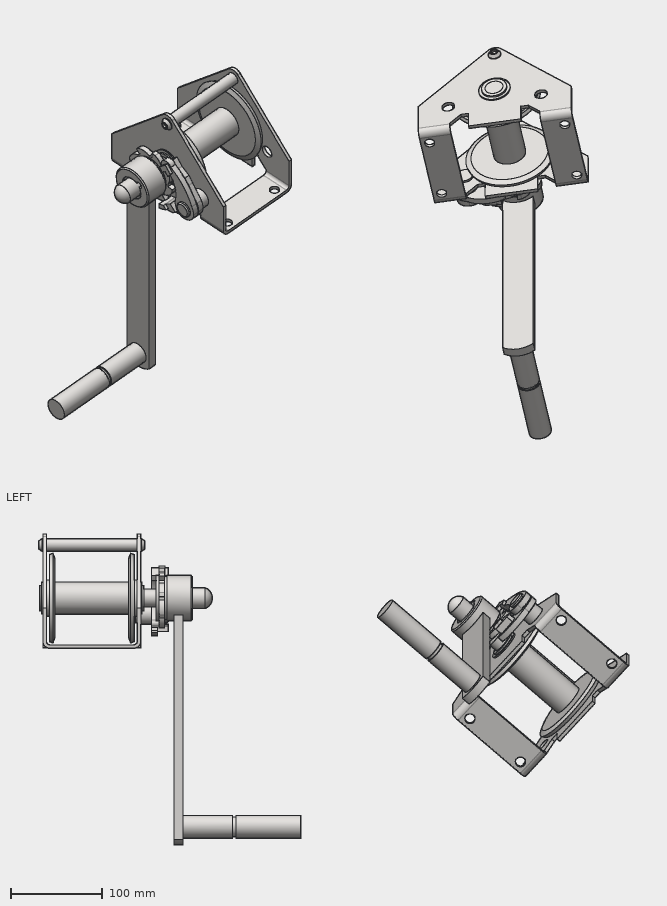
import cadquery as cq
import math


frame_width = 170.0
frame_depth = 107.0
sheet = 4.0
bend_radius = 8.0
base_bottom = -55.0
foot_length = 35.0
shoulder_z = -11.0
apex_radius = 10.0
apex_z = 70.1
tab_half_width = 29.0
tab_bottom = -54.5
notch_top = -33.5
notch_foot_z = -46.0
mount_hole_diameter = 11.0
mount_hole_x = 75.0
mount_hole_y = 37.0

bar_z = 58.1
bar_diameter = 14.0
bar_head_height = 4.5
bar_head_chamfer_length = 3.5
bar_head_chamfer_depth = 2.5
bar_socket_size = 6.0
bar_socket_depth = 2.5

shaft_diameter = 20.0
bush_flange_diameter = 40.0
bush_shoulder_diameter = 35.0
bush_shoulder_width = 1.5
bush_rim_diameter = 28.0
bush_rim_width = 2.0

drum_diameter = 35.6
flange_inner_y = 40.0
flange_thickness = 4.0
flange_flat_radius = 43.0
flange_back_flat_radius = 42.2
flange_rim_radius = 49.2
flange_rim_offset = 2.5
flange_edge_radius = 47.6
flange_edge_offset = 6.5

ratchet_back_y = -73.5
ratchet_front_y = -79.7
ratchet_disc_back_y = -70.2
ratchet_teeth = 8
tooth_phase = 87.0
tooth_tip_radius = 32.7
tooth_root_radius = 26.0
tooth_tip_angle = 8.0
tooth_back_radius = 30.7
tooth_back_angle = 21.0
tooth_root_angle = 37.0

pivot_x = 51.5
pivot_z = -17.8
pivot_hole_diameter = 14.0
pivot_collar_diameter = 22.0
pivot_end_diameter = 18.5
pivot_front_y = -83.6
pivot_end_chamfer = 1.5
pivot_tail_length = 2.3
pawl_back_y = -65.2
pawl_gap_y = -72.0
pawl_middle_y = -73.2
pawl_front_y = -80.2
pawl_stud_y = -83.7
pawl_boss_radius = 14.0
pawl_inner_radius = 38.3

boss_start = (62.8, -7.4)
boss_shoulder = (64.9, -12.8)
boss_side = (pivot_x + pawl_boss_radius, pivot_z)
outer_edge_middle = (49.6, 14.9)
inner_edge_middle = (pawl_inner_radius, 0.0)
front_inner_end = (36.8, -16.2)
front_boss_joint = (39.4, -25.0)
front_boss_blend = (44.0, -30.0)
claw_back = (16.7, 24.8)
claw_top = (22.5, 35.0)
claw_crown = (31.0, 30.7)
claw_notch = (25.4, 23.2)
claw_tip = (20.6, 19.0)
upper_stud_top = (25.8, 33.2)
upper_stud_outer = (33.5, 24.1)
upper_stud_inner = (29.9, 18.6)
upper_stud_corners = [claw_back, upper_stud_top, upper_stud_outer, upper_stud_inner, claw_notch, claw_tip]
lower_stud_tip = (16.0, -30.5)
lower_stud_step = (22.9, -28.5)
lower_stud_inner = (29.9, -23.9)
lower_stud_base = (16.0, -36.5)
lower_stud_corners = [
    lower_stud_tip,
    lower_stud_step,
    lower_stud_inner,
    (37.9, -31.6),
    (34.0, -34.5),
    lower_stud_base,
]
lower_stud_end_corners = [lower_stud_tip, lower_stud_step, (27.3, -32.3), (21.8, -34.8), lower_stud_base]
back_claw_x = 10.5
back_claw_corner = (back_claw_x, -37.5)
back_claw_inner = (back_claw_x, -35.5)
back_lower_edge = (31.0, -41.2)
back_lower_joint = (54.0, -33.0)
back_boss_blend = (61.8, -27.2)
back_upper_corners = [(44.0, 17.5), (49.5, 10.0)]

hub_diameter = 50.0
hub_back_y = -82.2
hub_front_y = -109.8
hub_chamfer = 1.5
hub_recess_diameter = 28.0
hub_recess_depth = 1.7
nose_diameter = 23.0
nose_shoulder_y = -123.7
nose_tip_y = -131.9
lock_hole_diameter = 8.5
lock_hole_offset = 10.4
lock_hole_depth = 6.0
arm_width = 34.0
arm_back_y = -89.8
arm_front_y = -99.9
arm_bottom_z = -269.75
arm_end_radius = 27.0
grip_z = -250.0
grip_diameter = 25.0
grip_end_y = -228.33
groove_diameter = 22.0
groove_back_y = -154.0
groove_front_y = -157.5

plate_outer_y = frame_depth / 2
plate_inner_y = plate_outer_y - sheet
flange_back_y = flange_inner_y + flange_thickness


def prism(outline, start_y, end_y):
    """Extrude a closed X-Z outline from start_y toward -Y as far as end_y."""
    return outline.extrude(start_y - end_y)


def xz_plane(y):
    return cq.Workplane("XZ", origin=(0, y, 0))


def rod(diameter, start_y, end_y, x=0.0, z=0.0):
    """Cylinder along Y from start_y toward -Y as far as end_y."""
    return prism(xz_plane(start_y).center(x, z).circle(diameter / 2), start_y, end_y)


def polar(radius, degrees):
    angle = math.radians(degrees)
    return (radius * math.cos(angle), radius * math.sin(angle))


def side_outline(y):
    """Gabled side plate with a rounded apex, two feet and a middle tab."""
    half = frame_width / 2
    foot_inner = half - foot_length
    notch_corner = foot_inner - (notch_top - notch_foot_z)
    arc_x = apex_radius * math.sin(math.pi / 4)
    arc_z = apex_z - apex_radius + arc_x
    return (
        xz_plane(y)
        .moveTo(-half, base_bottom)
        .lineTo(-half, shoulder_z)
        .lineTo(-arc_x, arc_z)
        .threePointArc((0, apex_z), (arc_x, arc_z))
        .lineTo(half, shoulder_z)
        .lineTo(half, base_bottom)
        .lineTo(foot_inner, base_bottom)
        .lineTo(foot_inner, notch_foot_z)
        .lineTo(notch_corner, notch_top)
        .lineTo(tab_half_width, notch_top)
        .lineTo(tab_half_width, tab_bottom)
        .lineTo(-tab_half_width, tab_bottom)
        .lineTo(-tab_half_width, notch_top)
        .lineTo(-notch_corner, notch_top)
        .lineTo(-foot_inner, notch_foot_z)
        .lineTo(-foot_inner, base_bottom)
        .close()
    )


def make_channel():
    """Bent sheet: two side plates joined by two foot strips."""
    tall = 2 * (apex_z - base_bottom)
    inner_radius = bend_radius - sheet
    outside = (
        cq.Workplane("XY")
        .box(frame_width, frame_depth, tall, centered=(True, True, False))
        .edges("|X and <Z")
        .fillet(bend_radius)
    )
    inside = (
        cq.Workplane("XY", origin=(0, 0, sheet))
        .box(frame_width, frame_depth - 2 * sheet, tall, centered=(True, True, False))
        .edges("|X and <Z")
        .fillet(inner_radius)
    )
    bent = outside.cut(inside).translate((0, 0, base_bottom))
    channel = bent.intersect(prism(side_outline(plate_outer_y), plate_outer_y, -plate_outer_y))
    tab_height = notch_top - tab_bottom
    for y in (plate_outer_y - sheet / 2, -plate_outer_y + sheet / 2):
        tab = cq.Workplane("XY", origin=(0, y, tab_bottom)).box(
            2 * tab_half_width, sheet, tab_height, centered=(True, True, False)
        )
        channel = channel.union(tab)
    tab_gap = cq.Workplane("XY", origin=(0, 0, base_bottom)).box(
        2 * tab_half_width, 2 * plate_inner_y, tab_height, centered=(True, True, False)
    )
    mount_holes = (
        cq.Workplane("XY", origin=(0, 0, base_bottom))
        .rect(2 * mount_hole_x, 2 * mount_hole_y, forConstruction=True)
        .vertices()
        .circle(mount_hole_diameter / 2)
        .extrude(sheet)
    )
    channel = channel.cut(tab_gap).cut(mount_holes)
    for x in (-pivot_x, pivot_x):
        channel = channel.cut(rod(pivot_hole_diameter, plate_outer_y, plate_inner_y, x, pivot_z))
    return channel


def make_spacer_bar():
    """Round bar with chamfered heads, each with a hexagon socket."""
    head_y = plate_outer_y + bar_head_height
    bar = rod(bar_diameter, head_y, -head_y, z=bar_z)
    bar = bar.edges().chamfer(bar_head_chamfer_length, bar_head_chamfer_depth)
    for start_y in (head_y, -head_y + bar_socket_depth):
        socket = xz_plane(start_y).center(0, bar_z).polygon(6, bar_socket_size, circumscribed=True)
        bar = bar.cut(prism(socket, start_y, start_y - bar_socket_depth))
    return bar


def make_bush():
    """Stepped bush in the back side plate, without its bore."""
    shoulder_y = plate_outer_y + bush_shoulder_width
    return (
        rod(bush_flange_diameter, plate_inner_y, flange_back_y)
        .union(rod(bush_shoulder_diameter, shoulder_y, plate_inner_y))
        .union(rod(bush_rim_diameter, shoulder_y + bush_rim_width, shoulder_y))
    )


def make_back_pawl():
    """Lower pawl: a hooked plate behind the ratchet wheel, reaching below it."""
    outline = (
        xz_plane(pawl_back_y)
        .moveTo(*back_claw_corner)
        .lineTo(*back_claw_inner)
        .lineTo(*lower_stud_step)
        .lineTo(*lower_stud_inner)
        .threePointArc(inner_edge_middle, upper_stud_inner)
        .lineTo(*upper_stud_outer)
        .lineTo(*back_upper_corners[0])
        .lineTo(*back_upper_corners[1])
        .lineTo(*boss_start)
        .threePointArc(boss_shoulder, boss_side)
        .threePointArc(back_boss_blend, back_lower_joint)
        .threePointArc(back_lower_edge, back_claw_corner)
        .close()
    )
    return prism(outline, pawl_back_y, pawl_gap_y)


def make_front_pawl():
    """Upper pawl: a plate in line with the ratchet wheel, its claw resting against a tooth."""
    boss_corner = polar(pawl_boss_radius, -45)
    boss_middle = (pivot_x + boss_corner[0], pivot_z + boss_corner[1])
    outline = (
        xz_plane(pawl_middle_y)
        .moveTo(*front_inner_end)
        .threePointArc(inner_edge_middle, upper_stud_inner)
        .lineTo(*claw_notch)
        .lineTo(*claw_tip)
        .lineTo(*claw_back)
        .threePointArc(claw_top, claw_crown)
        .threePointArc(outer_edge_middle, boss_start)
        .threePointArc(boss_shoulder, boss_side)
        .threePointArc(boss_middle, (pivot_x, pivot_z - pawl_boss_radius))
        .threePointArc(front_boss_blend, front_boss_joint)
        .close()
    )
    return prism(outline, pawl_middle_y, pawl_front_y)


def make_pawl():
    """Both pawls with their end studs on the pivot pin."""
    pin_tail_y = -plate_inner_y + pivot_tail_length
    pin = rod(pivot_end_diameter, pin_tail_y, pivot_front_y, pivot_x, pivot_z)
    pin = pin.faces("<Y").chamfer(pivot_end_chamfer)
    collar = rod(pivot_collar_diameter, -plate_outer_y, pawl_back_y, pivot_x, pivot_z)
    pawl = make_back_pawl().union(make_front_pawl()).union(pin).union(collar)
    studs = [
        (upper_stud_corners, pawl_stud_y),
        (lower_stud_corners, pawl_front_y),
        (lower_stud_end_corners, pawl_stud_y),
    ]
    for corners, end_y in studs:
        stud = xz_plane(pawl_back_y).polyline(corners).close()
        pawl = pawl.union(prism(stud, pawl_back_y, end_y))
    return pawl


def make_frame():
    """Side plates with the spacer bar, bushes and pawl fixed to them."""
    bush = make_bush()
    shaft_bore = rod(shaft_diameter, frame_depth, -frame_depth)
    frame = make_channel().union(make_spacer_bar()).union(bush).union(bush.mirror("XZ"))
    return frame.cut(shaft_bore).union(make_pawl())


def make_flange():
    """Dished end flange of the drum on the +Y side, its rim flared away from the drum."""
    return (
        cq.Workplane("XY")
        .moveTo(0, flange_inner_y)
        .lineTo(flange_flat_radius, flange_inner_y)
        .lineTo(flange_rim_radius, flange_inner_y + flange_rim_offset)
        .lineTo(flange_edge_radius, flange_inner_y + flange_edge_offset)
        .lineTo(flange_back_flat_radius, flange_back_y)
        .lineTo(0, flange_back_y)
        .close()
        .revolve(360, (0, 0, 0), (0, 1, 0))
    )


def make_ratchet():
    """Ratchet wheel whose teeth have a radial face and a rounded back."""
    pitch = 360 / ratchet_teeth
    wheel = rod(2 * tooth_root_radius, ratchet_back_y, ratchet_front_y)
    for index in range(ratchet_teeth):
        face = tooth_phase + index * pitch
        tooth = (
            xz_plane(ratchet_back_y)
            .moveTo(0, 0)
            .lineTo(*polar(tooth_tip_radius, face))
            .threePointArc(
                polar(tooth_tip_radius, face - tooth_tip_angle / 2),
                polar(tooth_tip_radius, face - tooth_tip_angle),
            )
            .threePointArc(
                polar(tooth_back_radius, face - tooth_back_angle),
                polar(tooth_root_radius, face - tooth_root_angle),
            )
            .close()
        )
        wheel = wheel.union(prism(tooth, ratchet_back_y, ratchet_front_y))
    return wheel


def make_nose():
    """Shaft end in front of the hub, finished with a spherical dome."""
    radius = nose_diameter / 2
    dome_height = nose_shoulder_y - nose_tip_y
    sphere_radius = (radius**2 + dome_height**2) / (2 * dome_height)
    angle = math.asin(radius / sphere_radius) / 2
    dome_middle = (
        sphere_radius * math.sin(angle),
        nose_tip_y + sphere_radius * (1 - math.cos(angle)),
    )
    return (
        cq.Workplane("XY")
        .moveTo(0, hub_back_y)
        .lineTo(radius, hub_back_y)
        .lineTo(radius, nose_shoulder_y)
        .threePointArc(dome_middle, (0, nose_tip_y))
        .close()
        .revolve(360, (0, 0, 0), (0, 1, 0))
    )


def make_drum():
    """Rope drum on its shaft, with the ratchet wheel and the domed shaft end."""
    flange = make_flange()
    shaft_back_y = plate_outer_y + bush_shoulder_width + bush_rim_width
    return (
        rod(drum_diameter, flange_inner_y, -flange_inner_y)
        .union(flange)
        .union(flange.mirror("XZ"))
        .union(rod(shaft_diameter, shaft_back_y, hub_back_y))
        .union(rod(hub_diameter, ratchet_disc_back_y, ratchet_back_y))
        .union(make_ratchet())
        .union(make_nose())
    )


def make_hub():
    """Round crank hub with a chamfered front and a slightly smaller disc behind it."""
    disc = rod(hub_diameter - 2 * hub_chamfer, ratchet_front_y, hub_back_y)
    hub = rod(hub_diameter, hub_back_y, hub_front_y).faces("<Y").chamfer(hub_chamfer)
    return disc.union(hub)


def make_arm():
    """Flat crank arm with a rounded lower end."""
    half = arm_width / 2
    side_bottom = arm_bottom_z + arm_end_radius - math.sqrt(arm_end_radius**2 - half**2)
    outline = (
        xz_plane(arm_back_y)
        .moveTo(-half, 0)
        .lineTo(-half, side_bottom)
        .threePointArc((0, arm_bottom_z), (half, side_bottom))
        .lineTo(half, 0)
        .close()
    )
    return prism(outline, arm_back_y, arm_front_y)


def make_grip():
    """Round grip with a shallow groove."""
    return (
        rod(grip_diameter, arm_front_y, groove_back_y, z=grip_z)
        .union(rod(groove_diameter, groove_back_y, groove_front_y, z=grip_z))
        .union(rod(grip_diameter, groove_front_y, grip_end_y, z=grip_z))
    )


def make_crank():
    """Hub, arm and grip, bored for the shaft, with a front recess and a lock hole beside it."""
    recess = rod(hub_recess_diameter, hub_front_y + hub_recess_depth, hub_front_y)
    lock_start_y = hub_front_y + lock_hole_depth
    lock_hole = rod(lock_hole_diameter, lock_start_y, hub_front_y, lock_hole_offset, lock_hole_offset)
    crank = make_hub().union(make_arm()).union(make_grip())
    return (
        crank.cut(rod(nose_diameter, hub_back_y, hub_front_y))
        .cut(rod(shaft_diameter, ratchet_front_y, hub_back_y))
        .cut(recess)
        .cut(lock_hole)
    )


frame = make_frame()
drum = make_drum()
crank = make_crank()

result = cq.Compound.makeCompound([frame.val(), drum.val(), crank.val()])